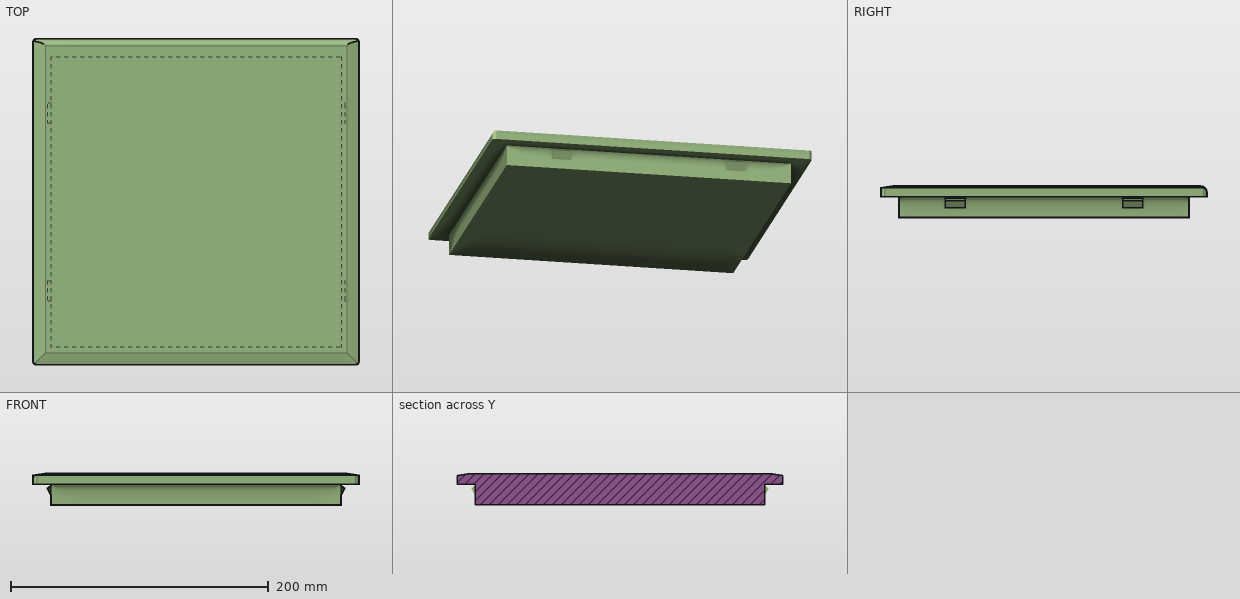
import cadquery as cq

PLATE_SIZE = 253.0
PLATE_THICKNESS = 8.5
CORNER_RADIUS = 3.0
BEVEL_WIDTH = 9.5
BEVEL_DROP = 1.5
ROUNDED_EDGE_RADIUS = 5.5

TOTAL_HEIGHT = 24.5
BODY_SIZE = 225.0
BODY_HEIGHT = TOTAL_HEIGHT - PLATE_THICKNESS

CLIP_WIDTH = 15.5
CLIP_SPACING = 138.0
CLIP_REACH = 2.8
CLIP_TOP_GAP = 1.0
CLIP_TIP_DEPTH = 3.0
CLIP_BOTTOM_DEPTH = 8.5

PLATE_BOTTOM = BODY_HEIGHT
PLATE_TOP = TOTAL_HEIGHT
BEVEL_FOOT = PLATE_TOP - BEVEL_DROP
HALF_PLATE = PLATE_SIZE / 2
HALF_BODY = BODY_SIZE / 2


def make_plate():
    """Square plate: shallow bevels on -X, +X and -Y, a rounded top edge on +Y."""
    blank = (
        cq.Workplane("XY", origin=(0, 0, PLATE_BOTTOM))
        .rect(PLATE_SIZE, PLATE_SIZE)
        .extrude(PLATE_THICKNESS)
        .edges("|Z")
        .fillet(CORNER_RADIUS)
    )
    section_across_x = (
        cq.Workplane("XZ")
        .moveTo(-HALF_PLATE, PLATE_BOTTOM)
        .lineTo(HALF_PLATE, PLATE_BOTTOM)
        .lineTo(HALF_PLATE, BEVEL_FOOT)
        .lineTo(HALF_PLATE - BEVEL_WIDTH, PLATE_TOP)
        .lineTo(-HALF_PLATE + BEVEL_WIDTH, PLATE_TOP)
        .lineTo(-HALF_PLATE, BEVEL_FOOT)
        .close()
        .extrude(HALF_PLATE, both=True)
    )
    section_across_y = (
        cq.Workplane("YZ")
        .moveTo(-HALF_PLATE, PLATE_BOTTOM)
        .lineTo(HALF_PLATE, PLATE_BOTTOM)
        .lineTo(HALF_PLATE, PLATE_TOP - ROUNDED_EDGE_RADIUS)
        .radiusArc((HALF_PLATE - ROUNDED_EDGE_RADIUS, PLATE_TOP), -ROUNDED_EDGE_RADIUS)
        .lineTo(-HALF_PLATE + BEVEL_WIDTH, PLATE_TOP)
        .lineTo(-HALF_PLATE, BEVEL_FOOT)
        .close()
        .extrude(HALF_PLATE, both=True)
    )
    return blank.intersect(section_across_x).intersect(section_across_y)


def make_body():
    """Plain square block centred under the plate."""
    return cq.Workplane("XY").rect(BODY_SIZE, BODY_SIZE).extrude(BODY_HEIGHT)


def make_clip(side, y_center):
    """Triangular catch on the body wall; side is -1 for -X and +1 for +X."""
    wall_x = side * HALF_BODY
    return (
        cq.Workplane("XZ", origin=(0, y_center, 0))
        .moveTo(wall_x, PLATE_BOTTOM - CLIP_TOP_GAP)
        .lineTo(wall_x + side * CLIP_REACH, PLATE_BOTTOM - CLIP_TIP_DEPTH)
        .lineTo(wall_x, PLATE_BOTTOM - CLIP_BOTTOM_DEPTH)
        .close()
        .extrude(CLIP_WIDTH / 2, both=True)
    )


result = make_plate().union(make_body())
for side in (-1, 1):
    for y_center in (-CLIP_SPACING / 2, CLIP_SPACING / 2):
        result = result.union(make_clip(side, y_center))